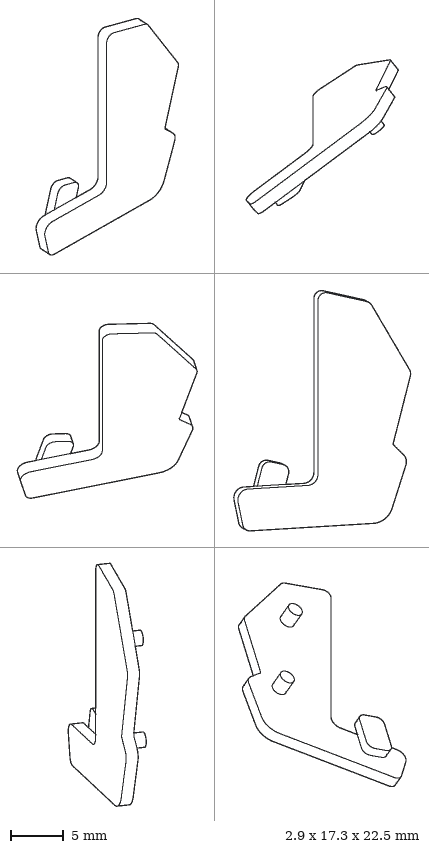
import cadquery as cq

plate_thickness = 1.21
foot_height = 4.05

plate_corners = [
    (0, foot_height, 0.99),
    (-8.22, foot_height, 1.0),
    (-7.37, 0, 0.76),
    (6.97, 0, 2.0),
    (8.99, 6.0, 0.99),
    (7.5, 7.48, 0.22),
    (9.33, 14.3, 0.76),
    (5.21, 21.28, 0.76),
    (0, 22.7, 0.75),
]

pin_length = 1.69
pin_radius = 0.75
pin_centers = [(4.7, 16.13), (5.55, 6.25)]

block_depth = 0.99
block_width = 2.76
block_height = 4.3
block_corner_radius = 0.76
block_tilt = -15
block_center = (-4.2, foot_height)


def make_plate():
    """Extrude the sharp outline towards +X, then round each corner."""
    outline = [(y, z) for y, z, _ in plate_corners]
    plate = cq.Workplane("YZ").polyline(outline).close().extrude(plate_thickness)
    for y, z, radius in plate_corners:
        corner_edge = cq.selectors.NearestToPointSelector((plate_thickness / 2, y, z))
        plate = plate.edges("|X").edges(corner_edge).fillet(radius)
    return plate


def make_pins():
    return cq.Workplane("YZ").pushPoints(pin_centers).circle(pin_radius).extrude(-pin_length)


def make_block():
    """Round-cornered block whose top leans towards +Y."""
    return (
        cq.Workplane("YZ")
        .rect(block_width, block_height)
        .extrude(-block_depth)
        .edges("|X")
        .fillet(block_corner_radius)
        .rotate((0, 0, 0), (1, 0, 0), block_tilt)
        .translate((0, *block_center))
    )


result = make_plate().union(make_pins()).union(make_block())